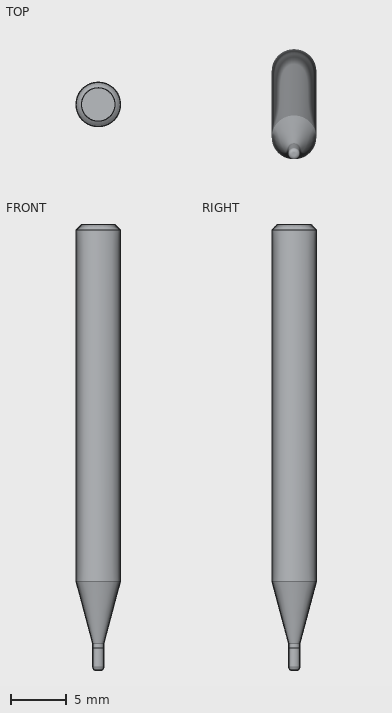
import cadquery as cq
import math

overall_length = 40.0
shank_diameter = 4.0
shank_radius = shank_diameter / 2
shank_chamfer = 0.5

tip_diameter = 1.0
tip_radius = tip_diameter / 2
tip_length = 2.0
tip_corner_radius = 0.3

cone_top_z = 8.0
cone_half_angle = 15.0
cone_length = (shank_radius - tip_radius) / math.tan(math.radians(cone_half_angle))
cone_bottom_z = cone_top_z - cone_length


def turn(profile):
    """Revolve a closed half profile, drawn in the YZ plane, about the Z axis."""
    return profile.revolve(360, (0, 0, 0), (0, 1, 0))


def make_shank():
    """Neck, cone and cylinder with a chamfered top end."""
    profile = (
        cq.Workplane("YZ")
        .moveTo(0, tip_length)
        .lineTo(tip_radius, tip_length)
        .lineTo(tip_radius, cone_bottom_z)
        .lineTo(shank_radius, cone_top_z)
        .lineTo(shank_radius, overall_length - shank_chamfer)
        .lineTo(shank_radius - shank_chamfer, overall_length)
        .lineTo(0, overall_length)
        .close()
    )
    return turn(profile)


def make_cutting_tip():
    """Short cylinder below the neck with a rounded lower corner."""
    profile = (
        cq.Workplane("YZ")
        .lineTo(tip_radius - tip_corner_radius, 0)
        .radiusArc((tip_radius, tip_corner_radius), -tip_corner_radius)
        .lineTo(tip_radius, tip_length)
        .lineTo(0, tip_length)
        .close()
    )
    return turn(profile)


shank = make_shank()
cutting_tip = make_cutting_tip()

result = cq.Compound.makeCompound([shank.val(), cutting_tip.val()])